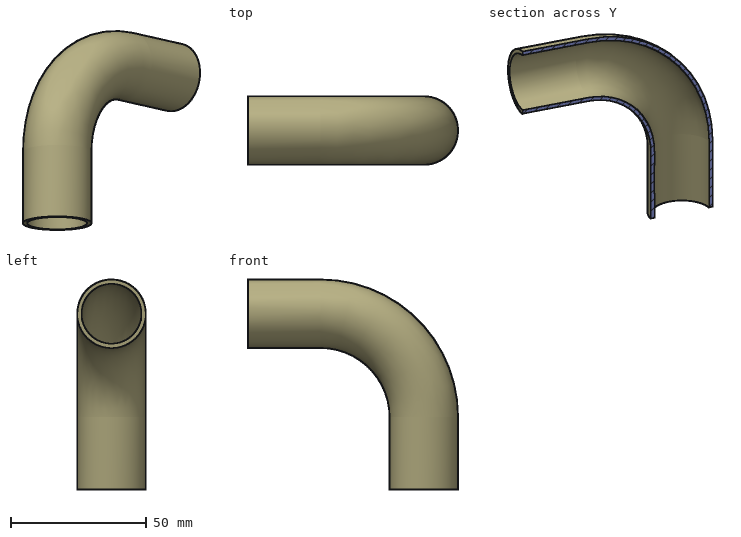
import cadquery as cq

outer_diameter = 25.4
inner_diameter = 22.1
center_to_end = 65.0
bend_radius = 1.5 * outer_diameter

tangent_length = center_to_end - bend_radius
bend_angle = 90


def elbow_rod(diameter):
    """Solid round bar along the elbow: straight in +X, bend, then straight in -Z.

    The two straight axes cross at the origin.
    """
    horizontal_leg = (
        cq.Workplane("YZ", origin=(-center_to_end, 0, 0))
        .circle(diameter / 2)
        .extrude(tangent_length)
    )
    bend = (
        cq.Workplane("YZ", origin=(-bend_radius, 0, 0))
        .circle(diameter / 2)
        .revolve(bend_angle, (0, -bend_radius, 0), (1, -bend_radius, 0))
    )
    vertical_leg = (
        cq.Workplane("XY", origin=(0, 0, -center_to_end))
        .circle(diameter / 2)
        .extrude(tangent_length)
    )
    return horizontal_leg.union(bend).union(vertical_leg)


result = elbow_rod(outer_diameter).cut(elbow_rod(inner_diameter))